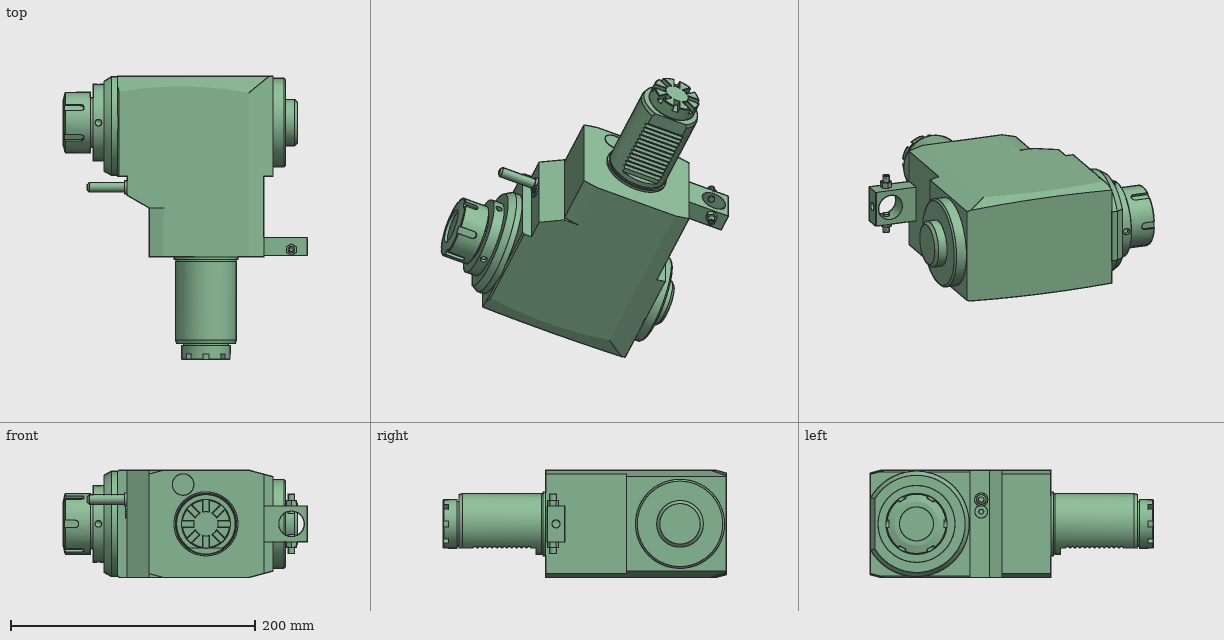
import cadquery as cq
import math


HALF_HEIGHT = 44.0
BACK_Y = 148.0
LEFT_X = -72.5
RIGHT_X = 55.0
SHOULDER_Y = 66.0
PIN_FACE_X = -64.5
LOWER_LEFT_X = -46.5
LOWER_RIGHT_X = 47.5
RELIEF_Y = 40.0
RELIEF_END_Y = 50.4
LEFT_EDGE_CHAMFER = 1.5
BEVEL_TAN = math.tan(math.radians(15))
RIGHT_BEVEL_X = 35.2
LEFT_BEVEL_X = -34.5
BACK_CONE_X = -20.0
BACK_CONE_Y = 139.4
BACK_CONE_RADIUS = 307.0

PLUG_X = -18.7
PLUG_Z = 32.2
PLUG_RADIUS = 8.8
PLUG_RECESS = 0.3

SPINDLE_Y = 110.0
FLANGE_RADIUS = 43.2
FLANGE_FACE_RADIUS = 39.8
FLANGE_RIM_X = -77.5
FLANGE_FACE_X = -83.5
FLANGE_FLAT = 37.6
FLANGE_FACE_FLAT = 33.8
RING_RADIUS = 31.5
RING_FACE_X = -92.4
RING_HOLE_X = -88.0
RING_HOLE_DIAMETER = 5.4
RING_HOLE_DEPTH = 4.0
RING_HOLE_POINT = 1.6
RING_HOLE_COUNT = 4
NECK_RADIUS = 20.5
NUT_BACK_X = -94.6
NUT_FACE_X = -117.0
NUT_RADIUS = 25.0
NUT_SHOULDER_X = -114.8
NUT_EDGE_X = -115.5
NUT_EDGE_RADIUS = 24.2
NUT_FACE_RADIUS = 18.0
NUT_RECESS_RADIUS = 13.9
NUT_RECESS_DEPTH = 2.5
NUT_SLOT_COUNT = 6
NUT_SLOT_WIDTH = 6.0
NUT_SLOT_END_X = -99.9
NUT_SHORT_SLOT_END_X = -104.2
NUT_SHORT_SLOT_SPACING = 3
NUT_SLOT_FLOOR = 22.4

COVER_RADIUS = 36.5
COVER_END_X = 65.2
COVER_CHAMFER = 1.5
CAP_RADIUS = 19.1
CAP_END_X = 75.0
CAP_CHAMFER = 2.5

COLLAR_RADIUS = 26.2
COLLAR_END_Y = -2.0
SHANK_RADIUS = 25.0
SHANK_GROOVE_RADIUS = 24.7
SHANK_GROOVE_END_Y = -3.6
SHANK_END_Y = -71.0
SHANK_CHAMFER_LENGTH = 3.0
SHANK_CHAMFER_DEPTH = 1.0
SHANK_FLAT_Z = -19.8
SHANK_FLAT_START_Y = -8.0
CLAMP_GROOVE_COUNT = 12
CLAMP_GROOVE_PITCH = 4.0
CLAMP_GROOVE_START_Y = -13.8
CLAMP_GROOVE_DEPTH = 1.5

COUPLING_NECK_RADIUS = 18.5
COUPLING_RADIUS = 20.0
COUPLING_START_Y = -72.4
COUPLING_END_Y = -84.0
COUPLING_CHAMFER = 0.6
COUPLING_HUB_RADIUS = 10.0
COUPLING_SLOT_COUNT = 8
COUPLING_SLOT_WIDTH = 4.8
COUPLING_SLOT_CHAMFER = 0.4
COUPLING_SLOT_DEPTH = 4.6

PIN_Y = 57.0
PIN_Z = 19.9
PIN_RADIUS = 4.0
PIN_TIP_X = -97.2
PIN_CHAMFER = 1.8
PIN_COLLAR_RADIUS = 5.4
PIN_COLLAR_LENGTH = 2.2
SCREW_Z = 10.0
SCREW_RADIUS = 5.2
SCREW_HEIGHT = 1.3
SCREW_SOCKET = 4.4
SCREW_SOCKET_DEPTH = 1.0

BRACKET_END_X = 83.1
BRACKET_FRONT_Y = 1.0
BRACKET_BACK_Y = 16.0
BRACKET_HALF_HEIGHT = 14.7
BRACKET_CHAMFER = 0.5
BRACKET_HOLE_X = 70.0
BRACKET_HOLE_RADIUS = 10.4
SIDE_HOLE_DIAMETER = 6.5
STUD_Y = 6.0
STUD_RADIUS = 2.7
STUD_OUTER_Z = 24.4
STUD_INNER_Z = 8.6
STUD_NUT_TOP_Z = 19.2
STUD_NUT_WIDTH = 8.0
STUD_SOCKET = 3.5
STUD_SOCKET_DEPTH = 2.5

OVERLAP = 1.0


def box_between(x0, x1, y0, y1, z0, z1):
    return cq.Workplane("XY").box(x1 - x0, y1 - y0, z1 - z0, centered=False).translate((x0, y0, z0))


def turned_on_spindle(profile):
    """Revolve (x, radius) points about the spindle axis."""
    points = [(x, SPINDLE_Y + radius) for x, radius in profile]
    return cq.Workplane("XY").polyline(points).close().revolve(360, (0, SPINDLE_Y), (1, SPINDLE_Y))


def turned_on_shank(profile):
    """Revolve (radius, y) points about the shank axis."""
    return cq.Workplane("XY").polyline(profile).close().revolve(360, (0, 0), (0, 1))


def rod_along_x(x0, x1, y, z, radius):
    return cq.Workplane("YZ", origin=(x0, y, z)).circle(radius).extrude(x1 - x0)


def around_spindle(tool, index, count):
    return tool.rotate((0, SPINDLE_Y, 0), (1, SPINDLE_Y, 0), index * 360 / count)


def beveled_section():
    """Prism along Y carrying the 15 degree bevels of the right side and the left edge chamfers."""
    right_z = HALF_HEIGHT - (RIGHT_X - RIGHT_BEVEL_X) * BEVEL_TAN
    upper = [
        (LEFT_X, HALF_HEIGHT - LEFT_EDGE_CHAMFER),
        (LEFT_X + LEFT_EDGE_CHAMFER, HALF_HEIGHT),
        (RIGHT_BEVEL_X, HALF_HEIGHT),
        (RIGHT_X, right_z),
    ]
    lower = [(x, -z) for x, z in reversed(upper)]
    return cq.Workplane("XZ").polyline(upper + lower).close().extrude(-BACK_Y)


def back_cone():
    """Double cone whose upper and lower halves form the curved bevels along the back."""
    middle_radius = BACK_CONE_RADIUS + HALF_HEIGHT / BEVEL_TAN
    profile = [
        (0, -HALF_HEIGHT),
        (BACK_CONE_RADIUS, -HALF_HEIGHT),
        (middle_radius, 0),
        (BACK_CONE_RADIUS, HALF_HEIGHT),
        (0, HALF_HEIGHT),
    ]
    cone = cq.Workplane("XZ").polyline(profile).close().revolve(360, (0, 0), (0, 1))
    return cone.translate((BACK_CONE_X, BACK_CONE_Y - BACK_CONE_RADIUS, 0))


def lower_left_bevel(side):
    """Wedge removed from the lower left edge; side is +1 for the top and -1 for the bottom."""
    drop = (LEFT_BEVEL_X - LOWER_LEFT_X) * BEVEL_TAN
    corners = [
        (LEFT_BEVEL_X, side * HALF_HEIGHT),
        (LOWER_LEFT_X, side * HALF_HEIGHT),
        (LOWER_LEFT_X, side * (HALF_HEIGHT - drop)),
    ]
    return cq.Workplane("XZ").polyline(corners).close().extrude(-RELIEF_Y)


def make_housing():
    outline = [
        (LOWER_LEFT_X, 0),
        (LOWER_RIGHT_X, 0),
        (LOWER_RIGHT_X, SHOULDER_Y),
        (RIGHT_X, SHOULDER_Y),
        (RIGHT_X, BACK_Y),
        (LEFT_X, BACK_Y),
        (LEFT_X, SHOULDER_Y),
        (PIN_FACE_X, SHOULDER_Y),
        (PIN_FACE_X, RELIEF_END_Y),
        (LOWER_LEFT_X, RELIEF_Y),
    ]
    housing = cq.Workplane("XY").polyline(outline).close().extrude(HALF_HEIGHT, both=True)
    housing = housing.intersect(beveled_section()).intersect(back_cone())
    for side in (1, -1):
        housing = housing.cut(lower_left_bevel(side))
    plug = cq.Workplane("XZ", origin=(PLUG_X, 0, PLUG_Z)).circle(PLUG_RADIUS).extrude(-PLUG_RECESS)
    return housing.cut(plug)


def make_flange():
    inner_x = LEFT_X + OVERLAP
    flange = turned_on_spindle([
        (inner_x, 0),
        (inner_x, FLANGE_RADIUS),
        (FLANGE_RIM_X, FLANGE_RADIUS),
        (FLANGE_FACE_X, FLANGE_FACE_RADIUS),
        (FLANGE_FACE_X, 0),
    ])
    flat_side = [
        (inner_x, SPINDLE_Y - FLANGE_RADIUS),
        (inner_x, SPINDLE_Y + FLANGE_FLAT),
        (FLANGE_RIM_X, SPINDLE_Y + FLANGE_FLAT),
        (FLANGE_FACE_X, SPINDLE_Y + FLANGE_FACE_FLAT),
        (FLANGE_FACE_X, SPINDLE_Y - FLANGE_RADIUS),
    ]
    keep = cq.Workplane("XY").polyline(flat_side).close().extrude(FLANGE_RADIUS, both=True)
    return flange.intersect(keep)


def ring_hole():
    """Blind radial hole with a conical drill point, on the +Z side of the ring."""
    radius = RING_HOLE_DIAMETER / 2
    floor_z = RING_RADIUS - RING_HOLE_DEPTH
    top_z = RING_RADIUS + OVERLAP
    profile = [(0, floor_z - RING_HOLE_POINT), (radius, floor_z), (radius, top_z), (0, top_z)]
    hole = cq.Workplane("XZ").polyline(profile).close().revolve(360, (0, 0), (0, 1))
    return hole.translate((RING_HOLE_X, SPINDLE_Y, 0))


def make_ring():
    ring = rod_along_x(RING_FACE_X, FLANGE_FACE_X + OVERLAP, SPINDLE_Y, 0, RING_RADIUS)
    hole = ring_hole()
    for index in range(RING_HOLE_COUNT):
        ring = ring.cut(around_spindle(hole, index, RING_HOLE_COUNT))
    return ring


def nut_slot(end_x):
    """Round-ended wrench slot on the -Y side of the nut, open at the nut face."""
    radius = NUT_SLOT_WIDTH / 2
    center_x = end_x - radius
    open_x = NUT_FACE_X - OVERLAP
    return (
        cq.Workplane("XZ", origin=(0, SPINDLE_Y - NUT_SLOT_FLOOR, 0))
        .moveTo(open_x, -radius)
        .lineTo(center_x, -radius)
        .threePointArc((end_x, 0), (center_x, radius))
        .lineTo(open_x, radius)
        .close()
        .extrude(NUT_RADIUS)
    )


def make_nut():
    inner_x = RING_FACE_X + OVERLAP
    recess_x = NUT_FACE_X + NUT_RECESS_DEPTH
    nut = turned_on_spindle([
        (inner_x, 0),
        (inner_x, NECK_RADIUS),
        (NUT_BACK_X, NECK_RADIUS),
        (NUT_BACK_X, NUT_RADIUS),
        (NUT_SHOULDER_X, NUT_RADIUS),
        (NUT_EDGE_X, NUT_EDGE_RADIUS),
        (NUT_FACE_X, NUT_FACE_RADIUS),
        (NUT_FACE_X, NUT_RECESS_RADIUS),
        (recess_x, NUT_RECESS_RADIUS),
        (recess_x, 0),
    ])
    for index in range(NUT_SLOT_COUNT):
        is_short = index % NUT_SHORT_SLOT_SPACING == 0
        slot = nut_slot(NUT_SHORT_SLOT_END_X if is_short else NUT_SLOT_END_X)
        nut = nut.cut(around_spindle(slot, index, NUT_SLOT_COUNT))
    return nut


def make_cover():
    return turned_on_spindle([
        (RIGHT_X - OVERLAP, 0),
        (RIGHT_X - OVERLAP, COVER_RADIUS),
        (COVER_END_X - COVER_CHAMFER, COVER_RADIUS),
        (COVER_END_X, COVER_RADIUS - COVER_CHAMFER),
        (COVER_END_X, CAP_RADIUS),
        (CAP_END_X - CAP_CHAMFER, CAP_RADIUS),
        (CAP_END_X, CAP_RADIUS - CAP_CHAMFER),
        (CAP_END_X, 0),
    ])


def make_shank():
    shank = turned_on_shank([
        (0, OVERLAP),
        (COLLAR_RADIUS, OVERLAP),
        (COLLAR_RADIUS, COLLAR_END_Y),
        (SHANK_GROOVE_RADIUS, COLLAR_END_Y),
        (SHANK_GROOVE_RADIUS, SHANK_GROOVE_END_Y),
        (SHANK_RADIUS, SHANK_GROOVE_END_Y),
        (SHANK_RADIUS, SHANK_END_Y + SHANK_CHAMFER_LENGTH),
        (SHANK_RADIUS - SHANK_CHAMFER_DEPTH, SHANK_END_Y),
        (0, SHANK_END_Y),
    ])
    flat = box_between(
        -SHANK_RADIUS, SHANK_RADIUS, SHANK_END_Y, SHANK_FLAT_START_Y, -SHANK_RADIUS, SHANK_FLAT_Z
    )
    shank = shank.cut(flat)
    for index in range(CLAMP_GROOVE_COUNT):
        shank = shank.cut(clamp_groove(CLAMP_GROOVE_START_Y - index * CLAMP_GROOVE_PITCH))
    return shank


def clamp_groove(y):
    """V groove across the clamping flat, centred at y."""
    half_width = CLAMP_GROOVE_PITCH / 2
    corners = [
        (y - half_width, SHANK_FLAT_Z),
        (y, SHANK_FLAT_Z + CLAMP_GROOVE_DEPTH),
        (y + half_width, SHANK_FLAT_Z),
    ]
    return cq.Workplane("YZ").polyline(corners).close().extrude(SHANK_RADIUS, both=True)


def coupling_slot():
    """Radial slot on the +X side, with chamfered mouth, that stops at the round hub."""
    floor_y = COUPLING_END_Y + COUPLING_SLOT_DEPTH
    chamfer_y = COUPLING_END_Y + COUPLING_SLOT_CHAMFER
    half_width = COUPLING_SLOT_WIDTH / 2
    half_mouth = half_width + COUPLING_SLOT_CHAMFER
    section = [
        (floor_y, -half_width),
        (chamfer_y, -half_width),
        (COUPLING_END_Y, -half_mouth),
        (COUPLING_END_Y, half_mouth),
        (chamfer_y, half_width),
        (floor_y, half_width),
    ]
    slot = cq.Workplane("YZ").polyline(section).close().extrude(COUPLING_RADIUS + OVERLAP)
    hub = cq.Workplane("XZ", origin=(0, floor_y, 0)).circle(COUPLING_HUB_RADIUS).extrude(COUPLING_SLOT_DEPTH)
    return slot.cut(hub)


def make_coupling():
    coupling = turned_on_shank([
        (0, SHANK_END_Y + OVERLAP),
        (COUPLING_NECK_RADIUS, SHANK_END_Y + OVERLAP),
        (COUPLING_NECK_RADIUS, COUPLING_START_Y),
        (COUPLING_RADIUS, COUPLING_START_Y),
        (COUPLING_RADIUS, COUPLING_END_Y + COUPLING_CHAMFER),
        (COUPLING_RADIUS - COUPLING_CHAMFER, COUPLING_END_Y),
        (0, COUPLING_END_Y),
    ])
    slot = coupling_slot()
    for index in range(COUPLING_SLOT_COUNT):
        angle = index * 360 / COUPLING_SLOT_COUNT
        coupling = coupling.cut(slot.rotate((0, 0, 0), (0, 1, 0), angle))
    return coupling


def make_pin():
    inner_x = PIN_FACE_X + OVERLAP
    pin = rod_along_x(PIN_TIP_X, inner_x, PIN_Y, PIN_Z, PIN_RADIUS).faces("<X").chamfer(PIN_CHAMFER)
    collar = rod_along_x(PIN_FACE_X - PIN_COLLAR_LENGTH, inner_x, PIN_Y, PIN_Z, PIN_COLLAR_RADIUS)
    return pin.union(collar)


def make_screw():
    face_x = PIN_FACE_X - SCREW_HEIGHT
    screw = rod_along_x(face_x, PIN_FACE_X + OVERLAP, PIN_Y, SCREW_Z, SCREW_RADIUS)
    socket = (
        cq.Workplane("YZ", origin=(face_x, PIN_Y, SCREW_Z))
        .polygon(6, SCREW_SOCKET)
        .extrude(SCREW_SOCKET_DEPTH)
    )
    return screw.cut(socket)


def make_bracket():
    bracket = box_between(
        LOWER_RIGHT_X - OVERLAP, BRACKET_END_X,
        BRACKET_FRONT_Y, BRACKET_BACK_Y,
        -BRACKET_HALF_HEIGHT, BRACKET_HALF_HEIGHT,
    )
    bracket = bracket.faces(">X").edges("|Z").chamfer(BRACKET_CHAMFER)
    hole = (
        cq.Workplane("XZ", origin=(BRACKET_HOLE_X, BRACKET_FRONT_Y, 0))
        .circle(BRACKET_HOLE_RADIUS)
        .extrude(BRACKET_FRONT_Y - BRACKET_BACK_Y)
    )
    middle_y = (BRACKET_FRONT_Y + BRACKET_BACK_Y) / 2
    side_hole = rod_along_x(BRACKET_HOLE_X, BRACKET_END_X, middle_y, 0, SIDE_HOLE_DIAMETER / 2)
    bracket = bracket.cut(hole).cut(side_hole)
    stud = make_stud()
    return bracket.union(stud).union(stud.mirror("XY"))


def make_stud():
    """Upper clamping stud with its hexagon nut."""
    stud = (
        cq.Workplane("XY", origin=(BRACKET_HOLE_X, STUD_Y, STUD_INNER_Z))
        .circle(STUD_RADIUS)
        .extrude(STUD_OUTER_Z - STUD_INNER_Z)
    )
    nut = (
        cq.Workplane("XY", origin=(BRACKET_HOLE_X, STUD_Y, BRACKET_HALF_HEIGHT))
        .polygon(6, STUD_NUT_WIDTH, circumscribed=True)
        .extrude(STUD_NUT_TOP_Z - BRACKET_HALF_HEIGHT)
    )
    socket = (
        cq.Workplane("XY", origin=(BRACKET_HOLE_X, STUD_Y, STUD_OUTER_Z))
        .polygon(6, STUD_SOCKET)
        .extrude(-STUD_SOCKET_DEPTH)
    )
    return stud.union(nut).cut(socket)


result = (
    make_housing()
    .union(make_flange())
    .union(make_ring())
    .union(make_nut())
    .union(make_cover())
    .union(make_shank())
    .union(make_coupling())
    .union(make_pin())
    .union(make_screw())
    .union(make_bracket())
)